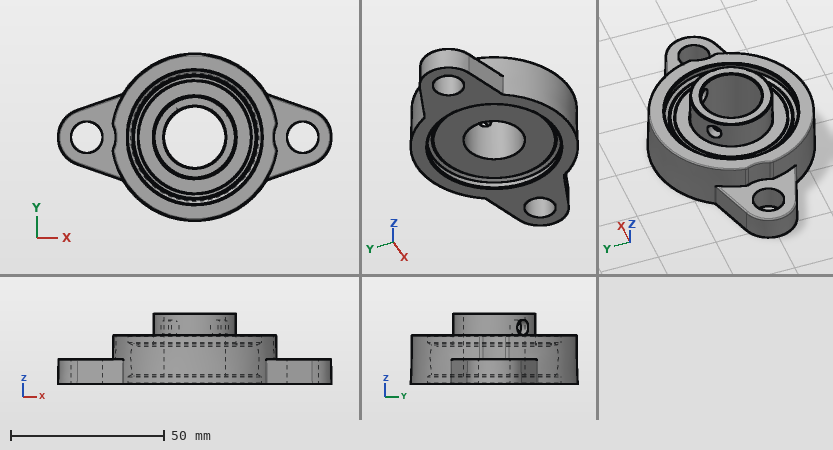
import cadquery as cq
import math

housing_height = 16.0
base_radius = 27.3
draft_angle = 1.2
top_edge_round = 0.4

lug_height = 8.2
lug_tip_x = 44.6
lug_end_radius = 9.4
lug_root_radius = 21.0
lug_edge_round = 0.5
lug_corner_round = 0.5
bolt_x = lug_tip_x - lug_end_radius
bolt_hole_diameter = 10.2

scallop_radius = lug_end_radius
scallop_corner_round = 2.0

mid_height = housing_height / 2
seat_half_height = 4.8
seat_edge_radius = 20.4
mouth_radius = 21.8
mouth_chamfer = 0.4
mouth_depth = 2.4

bearing_top = 23.1
bearing_face_z = 13.3
outer_ring_face_radius = 19.8
inner_ring_radius = 26.8 / 2
bore_radius = 20.0 / 2
ring_chamfer = 0.3
seal_inner_radius = 27.4 / 2
seal_outer_radius = 36.6 / 2
outer_ring_bore_radius = 37.2 / 2
seal_gap_depth = 1.0
set_screw_diameter = 5.0
set_screw_z = 18.5
set_screw_angles = (45, 135)

sphere_radius = math.hypot(seat_edge_radius, seat_half_height)
seat_top = mid_height + seat_half_height
seat_bottom = mid_height - seat_half_height
bearing_bottom = housing_height - bearing_face_z


def lug(side):
    """Tapered lug on the side +1 or -1 of X.

    Its end is round, and straight flanks run tangent to the end circle and the root circle.
    """
    lean = math.asin((lug_root_radius - lug_end_radius) / bolt_x)
    end_x = side * (bolt_x + lug_end_radius * math.sin(lean))
    end_y = lug_end_radius * math.cos(lean)
    root_x = side * lug_root_radius * math.sin(lean)
    root_y = lug_root_radius * math.cos(lean)
    return (
        cq.Workplane("XY")
        .moveTo(root_x, -root_y)
        .lineTo(end_x, -end_y)
        .threePointArc((side * lug_tip_x, 0), (end_x, end_y))
        .lineTo(root_x, root_y)
        .close()
        .extrude(lug_height, taper=draft_angle)
    )


def housing_wall():
    """Drafted round wall with a rounded-corner scallop above each lug and a rounded top edge."""
    wall = cq.Workplane("XY").circle(base_radius).extrude(housing_height, taper=draft_angle)
    scallops = (
        cq.Workplane("XY", origin=(0, 0, lug_height))
        .pushPoints([(-bolt_x, 0), (bolt_x, 0)])
        .circle(scallop_radius)
        .extrude(housing_height - lug_height, taper=-draft_angle)
    )
    wall = wall.cut(scallops)
    corner_y = scallop_radius / 2
    corner_zone = cq.selectors.BoxSelector(
        (-base_radius, -corner_y, lug_height + top_edge_round),
        (base_radius, corner_y, housing_height - top_edge_round),
    )
    wall = wall.edges(corner_zone).edges("not #Z").fillet(scallop_corner_round)
    return wall.faces(">Z").edges().fillet(top_edge_round)


def bearing_seat():
    """Revolved void: spherical seat with a conical lead-in and a chamfered mouth at both ends."""
    return (
        cq.Workplane("XZ")
        .lineTo(mouth_radius + mouth_chamfer, 0)
        .lineTo(mouth_radius, mouth_chamfer)
        .lineTo(mouth_radius, mouth_depth)
        .lineTo(seat_edge_radius, seat_bottom)
        .threePointArc((sphere_radius, mid_height), (seat_edge_radius, seat_top))
        .lineTo(mouth_radius, housing_height - mouth_depth)
        .lineTo(mouth_radius, housing_height - mouth_chamfer)
        .lineTo(mouth_radius + mouth_chamfer, housing_height)
        .lineTo(0, housing_height)
        .close()
        .revolve(360, (0, 0), (0, 1))
    )


def base_plate():
    """Disc and both lugs up to the lug height, with rounded inside corners and a rounded top edge."""
    plate = cq.Workplane("XY").circle(base_radius).extrude(lug_height, taper=draft_angle)
    for side in (-1, 1):
        plate = plate.union(lug(side))
    corner_zone = cq.selectors.BoxSelector(
        (-base_radius, -base_radius, lug_edge_round),
        (base_radius, base_radius, lug_height - lug_edge_round),
    )
    lug_corners = plate.edges(corner_zone).edges("not #Z")
    plate = lug_corners.fillet(lug_corner_round)
    return plate.faces(">Z").edges().fillet(lug_edge_round)


def make_housing():
    body = housing_wall().union(base_plate())
    bolt_holes = (
        cq.Workplane("XY")
        .pushPoints([(-bolt_x, 0), (bolt_x, 0)])
        .circle(bolt_hole_diameter / 2)
        .extrude(lug_height)
    )
    return body.cut(bolt_holes).cut(bearing_seat())


def groove(inner_radius, outer_radius):
    """Narrow ring groove sunk into the bearing face."""
    return (
        cq.Workplane("XY", origin=(0, 0, bearing_face_z - seal_gap_depth))
        .circle(outer_radius)
        .circle(inner_radius)
        .extrude(seal_gap_depth)
    )


def make_bearing():
    body = (
        cq.Workplane("XZ")
        .moveTo(bore_radius, bearing_bottom)
        .lineTo(outer_ring_face_radius, bearing_bottom)
        .lineTo(seat_edge_radius, seat_bottom)
        .threePointArc((sphere_radius, mid_height), (seat_edge_radius, seat_top))
        .lineTo(outer_ring_face_radius, bearing_face_z)
        .lineTo(inner_ring_radius, bearing_face_z)
        .lineTo(inner_ring_radius, bearing_top - ring_chamfer)
        .lineTo(inner_ring_radius - ring_chamfer, bearing_top)
        .lineTo(bore_radius + ring_chamfer, bearing_top)
        .lineTo(bore_radius, bearing_top - ring_chamfer)
        .close()
        .revolve(360, (0, 0), (0, 1))
    )
    body = body.cut(groove(inner_ring_radius, seal_inner_radius))
    body = body.cut(groove(seal_outer_radius, outer_ring_bore_radius))
    for angle in set_screw_angles:
        screw_hole = (
            cq.Workplane("YZ", origin=(0, 0, set_screw_z))
            .circle(set_screw_diameter / 2)
            .extrude(sphere_radius)
            .rotate((0, 0, 0), (0, 0, 1), angle)
        )
        body = body.cut(screw_hole)
    return body


housing = make_housing()
bearing = make_bearing()
result = cq.Compound.makeCompound([housing.val(), bearing.val()])